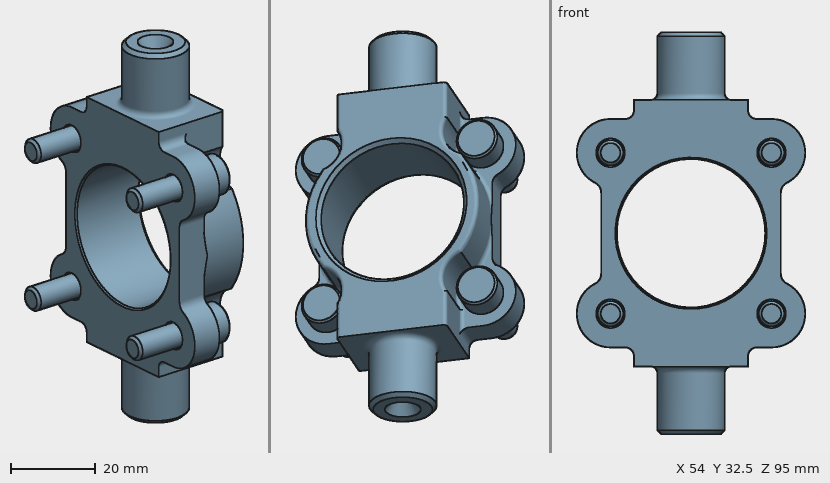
import cadquery as cq
import math

body_half_depth = 10.0
front_y = -body_half_depth
back_y = body_half_depth
block_half_width = 13.5
block_half_height = 31.5
ring_radius = 21.25
scoop_radius = 6.5
bore_radius = 17.5
front_bore_chamfer = 0.4
back_bore_chamfer = 1.0
back_edge_fillet = 1.0

plate_thickness = 7.5
seat_y = front_y + plate_thickness
plate_half_width = ring_radius
screw_offset = 19.0
ear_radius = 8.0
ear_top = screw_offset + ear_radius
ear_side = ear_top
ear_block_fillet = 2.0
ear_plate_fillet = 2.5
seat_fillet = 1.0
clearance_radius = 3.4

trunnion_radius = 8.0
trunnion_tip_z = 47.5
trunnion_chamfer = 1.0
trunnion_root_fillet = 1.5
centre_radius = 4.25
centre_tip_radius = 0.4
centre_half_angle = math.radians(30)

screw_radius = 3.0
screw_length = 20.0
tip_chamfer = 0.7
head_radius = 5.0
head_height = 6.0
head_chamfer = 0.5

screw_positions = [(sx * screw_offset, sz * screw_offset) for sx in (-1, 1) for sz in (-1, 1)]


def xz_plane(y):
    """Workplane at the given Y with local axes X and Z; positive extrusion goes toward -Y."""
    return cq.Workplane("XZ", origin=(0, y, 0))


def mirror_quarter(quarter):
    """Complete a shape from its +X +Z quarter."""
    half = quarter.union(quarter.mirror("YZ"))
    return half.union(half.mirror("XY"))


def make_bar_and_ring():
    """Bar and ring through the full depth, scooped out around the screw heads, with rounded back edges."""
    depth = back_y - front_y
    bar = xz_plane(back_y).rect(2 * block_half_width, 2 * block_half_height).extrude(depth)
    ring = xz_plane(back_y).circle(ring_radius).extrude(depth)
    scoops = xz_plane(back_y).pushPoints(screw_positions).circle(scoop_radius).extrude(depth)
    solid = bar.union(ring).cut(scoops)
    return solid.faces(">Y").edges("not(<Z or >Z)").fillet(back_edge_fillet)


def make_plate_outline(depth):
    """Plate outline with an ear around each screw, extruded from the front face toward +Y."""
    fillet_x = plate_half_width + ear_plate_fillet
    centre_distance = ear_radius + ear_plate_fillet
    offset_x = fillet_x - screw_offset
    offset_z = -math.sqrt(centre_distance**2 - offset_x**2)
    ear_share = ear_radius / centre_distance
    quarter = (
        xz_plane(front_y)
        .lineTo(plate_half_width, 0)
        .lineTo(plate_half_width, screw_offset + offset_z)
        .radiusArc((screw_offset + offset_x * ear_share, screw_offset + offset_z * ear_share), ear_plate_fillet)
        .radiusArc((screw_offset, ear_top), -ear_radius)
        .lineTo(block_half_width + ear_block_fillet, ear_top)
        .radiusArc((block_half_width, ear_top + ear_block_fillet), ear_block_fillet)
        .lineTo(0, ear_top + ear_block_fillet)
        .close()
        .extrude(-depth)
    )
    return mirror_quarter(quarter)


def make_seat(bar_and_ring):
    """Flange plate with a fillet where its back face meets the bar and ring."""
    slab_half_height = ear_top + ear_block_fillet
    slab_half_width = ear_side
    slab = xz_plane(seat_y).rect(2 * slab_half_width, 2 * slab_half_height).extrude(plate_thickness)
    filleted = bar_and_ring.union(slab)
    inner_half_width = slab_half_width - seat_fillet
    inner = cq.selectors.BoxSelector(
        (-inner_half_width, seat_y - seat_fillet, -slab_half_height + seat_fillet),
        (inner_half_width, seat_y + seat_fillet, slab_half_height - seat_fillet),
    )
    filleted = filleted.faces("|Y").edges(inner).fillet(seat_fillet)
    return filleted.intersect(make_plate_outline(plate_thickness + seat_fillet))


def make_trunnion():
    """Upper trunnion with a flared root, a chamfered tip and a conical centre."""
    root_z = block_half_height
    centre_depth = (centre_radius - centre_tip_radius) / math.tan(centre_half_angle)
    return (
        cq.Workplane("XZ")
        .moveTo(0, root_z)
        .lineTo(0, trunnion_tip_z - centre_depth)
        .lineTo(centre_tip_radius, trunnion_tip_z - centre_depth)
        .lineTo(centre_radius, trunnion_tip_z)
        .lineTo(trunnion_radius - trunnion_chamfer, trunnion_tip_z)
        .lineTo(trunnion_radius, trunnion_tip_z - trunnion_chamfer)
        .lineTo(trunnion_radius, root_z + trunnion_root_fillet)
        .radiusArc((trunnion_radius + trunnion_root_fillet, root_z), -trunnion_root_fillet)
        .close()
        .revolve(360, (0, 0, 0), (0, 1, 0))
    )


def make_screw(x, z):
    """Screw with its head on the back of an ear and its shank pointing toward -Y."""
    shank = xz_plane(seat_y).center(x, z).circle(screw_radius).extrude(screw_length)
    shank = shank.faces("<Y").chamfer(tip_chamfer)
    head = xz_plane(seat_y).center(x, z).circle(head_radius).extrude(-head_height)
    head = head.faces(">Y").chamfer(head_chamfer)
    return head.union(shank)


def make_bore():
    """Volume of the bore along Y, widening at both faces."""
    return (
        cq.Workplane("XY")
        .moveTo(0, front_y)
        .lineTo(bore_radius + front_bore_chamfer, front_y)
        .lineTo(bore_radius, front_y + front_bore_chamfer)
        .lineTo(bore_radius, back_y - back_bore_chamfer)
        .lineTo(bore_radius + back_bore_chamfer, back_y)
        .lineTo(0, back_y)
        .close()
        .revolve(360, (0, 0, 0), (0, 1, 0))
    )


def make_body():
    """Bar, ring, flange plate and trunnions in one solid, with the bore and the screw clearance holes."""
    bar_and_ring = make_bar_and_ring()
    body = bar_and_ring.union(make_seat(bar_and_ring))

    trunnion = make_trunnion()
    body = body.union(trunnion).union(trunnion.mirror("XY"))

    body = body.cut(make_bore())

    holes = xz_plane(seat_y).pushPoints(screw_positions).circle(clearance_radius).extrude(plate_thickness)
    return body.cut(holes)


body = make_body()
screws = [make_screw(x, z) for x, z in screw_positions]

result = cq.Compound.makeCompound([body.val(), *[screw.val() for screw in screws]])